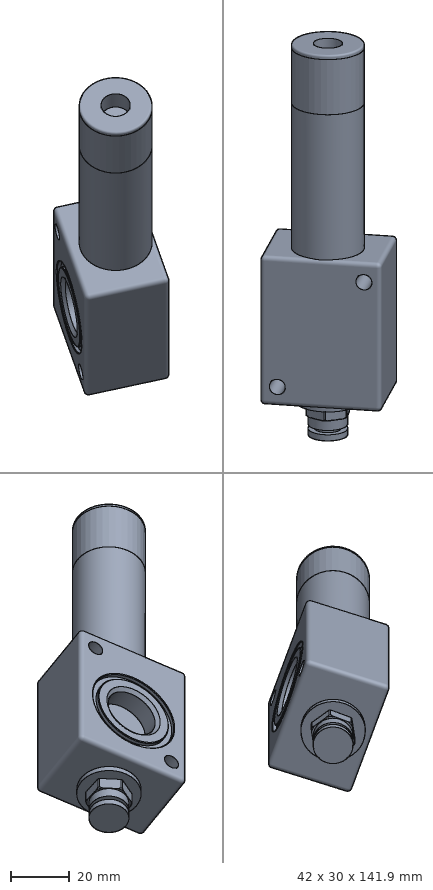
import cadquery as cq
import math

overall_height = 141.9
body_bottom = 14.0
body_top = 67.8
knurl_bottom = 120.5
knurl_top = 140.5

body_width = 42.0
body_depth = 30.0
body_offset_y = -1.5
edge_radius = 1.5
body_height = body_top - body_bottom
body_middle = (body_top + body_bottom) / 2
front_y = body_offset_y - body_depth / 2

tower_diameter = 25.0
knob_edge_radius = 0.7
knurl_facets = 36
knob_hole_diameter = 10.0
knob_hole_depth = 7.1

mount_hole_diameter = 5.5
mount_hole_x = 15.0
mount_hole_dz = 20.0

port_z = 38.0
port_diameter = 18.6
port_depth = 8.1
port_chamfer = 1.3
groove_outer_diameter = 32.0
groove_inner_diameter = 28.0
groove_depth = 1.5
groove_chamfer = 0.3

flange_diameter = 22.0
flange_bottom = 12.0
hex_across_flats = 14.0
hex_corner_diameter = 15.9
hex_turn = 33
hex_bottom = 7.5
hex_chamfer = 0.4
collar_diameter = 13.6
collar_bottom = 3.8
neck_diameter = 9.2
ring_top = 2.3


def disc(diameter, bottom, top):
    """Upright cylinder on the Z axis."""
    return cq.Workplane("XY").workplane(offset=bottom).circle(diameter / 2).extrude(top - bottom)


def front_plane():
    """Sketch plane on the front face, centred on the port, facing outwards."""
    return cq.Workplane("XZ", origin=(0, front_y, port_z))


def make_body():
    block = cq.Workplane("XY").box(body_width, body_depth, body_height).edges().fillet(edge_radius)
    return block.translate((0, body_offset_y, body_middle))


def make_tower():
    """Plain tower with a faceted grip band and a rounded top edge."""
    knurl = (
        cq.Workplane("XY")
        .workplane(offset=knurl_bottom)
        .polygon(knurl_facets, tower_diameter)
        .extrude(knurl_top - knurl_bottom)
    )
    cap = disc(tower_diameter, knurl_top, overall_height).faces(">Z").edges().fillet(knob_edge_radius)
    tower = disc(tower_diameter, body_middle, knurl_bottom).union(knurl).union(cap)
    return tower.cut(disc(knob_hole_diameter, overall_height - knob_hole_depth, overall_height))


def make_hex():
    """Hexagon nut with its corners turned off and its lower edge chamfered."""
    corner_circle = hex_across_flats / math.cos(math.pi / 6)
    prism = (
        cq.Workplane("XY")
        .workplane(offset=hex_bottom)
        .transformed(rotate=(0, 0, hex_turn))
        .polygon(6, corner_circle)
        .extrude(flange_bottom - hex_bottom)
    )
    turned = disc(hex_corner_diameter, hex_bottom, flange_bottom).faces("<Z").chamfer(hex_chamfer)
    return prism.intersect(turned)


def make_fitting():
    """Push-in fitting: flange, hexagon, collar, neck and release ring."""
    fitting = disc(flange_diameter, flange_bottom, body_bottom)
    fitting = fitting.union(make_hex())
    fitting = fitting.union(disc(collar_diameter, collar_bottom, hex_bottom))
    fitting = fitting.union(disc(neck_diameter, ring_top, collar_bottom))
    return fitting.union(disc(collar_diameter, 0, ring_top))


def make_port():
    """Blind bore with a chamfered mouth."""
    bore = front_plane().circle(port_diameter / 2).extrude(-port_depth)
    return bore.union(
        front_plane().circle(port_diameter / 2 + port_chamfer).extrude(-port_chamfer, taper=45)
    )


def make_groove():
    """Ring groove around the port, both rims chamfered."""
    outer_radius = groove_outer_diameter / 2
    inner_radius = groove_inner_diameter / 2
    section = [
        (inner_radius - groove_chamfer, 0),
        (outer_radius + groove_chamfer, 0),
        (outer_radius, -groove_chamfer),
        (outer_radius, -groove_depth),
        (inner_radius, -groove_depth),
        (inner_radius, -groove_chamfer),
    ]
    ring = cq.Workplane("XZ").polyline(section).close().revolve(360, (0, 0), (0, 1))
    return ring.rotate((0, 0, 0), (1, 0, 0), 90).translate((0, front_y, port_z))


def make_mount_holes():
    """Two holes through the full depth of the body."""
    centres = [(-mount_hole_x, mount_hole_dz), (mount_hole_x, -mount_hole_dz)]
    return (
        cq.Workplane("XZ", origin=(0, front_y, body_middle))
        .pushPoints(centres)
        .circle(mount_hole_diameter / 2)
        .extrude(-body_depth)
    )


result = make_body().union(make_tower()).union(make_fitting())
result = result.cut(make_port()).cut(make_groove()).cut(make_mount_holes())